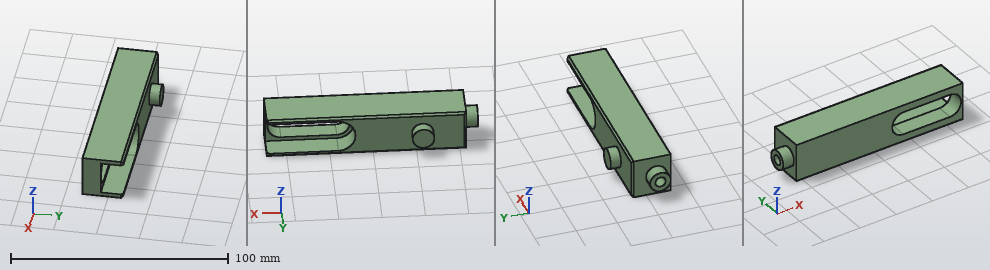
import cadquery as cq
import math

total_length = 98.0
total_depth = 24.0
body_height = 20.0

boss_diameter = 10.0
end_boss_length = 6.0
back_boss_length = 5.0
end_boss_y = 7.1
back_boss_x = 26.1

hole_diameter = 5.0
hole_depth = 10.0
drill_point_angle = 118.0

slot_length = 38.0
slot_width = 12.25
slot_end_wall = 1.0

channel_width = 16.0
channel_front_y = 8.6

back_chamfer = 1.0

body_length = total_length - end_boss_length
body_depth = total_depth - back_boss_length


def make_body():
    """Rectangular bar with its back edges chamfered."""
    bar = cq.Workplane("XY").box(body_length, body_depth, body_height, centered=(False, False, True))
    return bar.translate((end_boss_length, 0, 0)).faces(">Y").edges().chamfer(back_chamfer)


def make_end_boss():
    """Round stub along X on the left end."""
    return cq.Workplane("YZ").center(end_boss_y, 0).circle(boss_diameter / 2).extrude(end_boss_length)


def make_back_boss():
    """Round stub along Y on the back face."""
    plane = cq.Workplane("XZ", origin=(back_boss_x, body_depth, 0))
    return plane.circle(boss_diameter / 2).extrude(-back_boss_length)


def make_hole():
    """Drilled hole along X, with a cone at its bottom."""
    radius = hole_diameter / 2
    point_length = radius / math.tan(math.radians(drill_point_angle / 2))
    profile = (
        cq.Workplane("XY", origin=(0, end_boss_y, 0))
        .lineTo(0, radius)
        .lineTo(hole_depth, radius)
        .lineTo(hole_depth + point_length, 0)
        .close()
    )
    return profile.revolve(360, (0, 0), (1, 0))


def make_slot():
    """Round-ended slot through the whole depth of the bar."""
    slot_x = total_length - slot_end_wall - slot_length / 2
    plane = cq.Workplane("XZ", origin=(slot_x, 0, 0))
    return plane.slot2D(slot_length, slot_width).extrude(-body_depth)


def make_channel():
    """Channel with a round left end concentric with the slot's left end."""
    radius = channel_width / 2
    arc_x = total_length - slot_end_wall - slot_length + slot_width / 2
    return (
        cq.Workplane("XZ", origin=(0, channel_front_y, 0))
        .moveTo(total_length, -radius)
        .lineTo(arc_x, -radius)
        .threePointArc((arc_x - radius, 0), (arc_x, radius))
        .lineTo(total_length, radius)
        .close()
        .extrude(channel_front_y - body_depth)
    )


body = make_body().union(make_end_boss()).union(make_back_boss())
result = body.cut(make_hole()).cut(make_slot()).cut(make_channel())